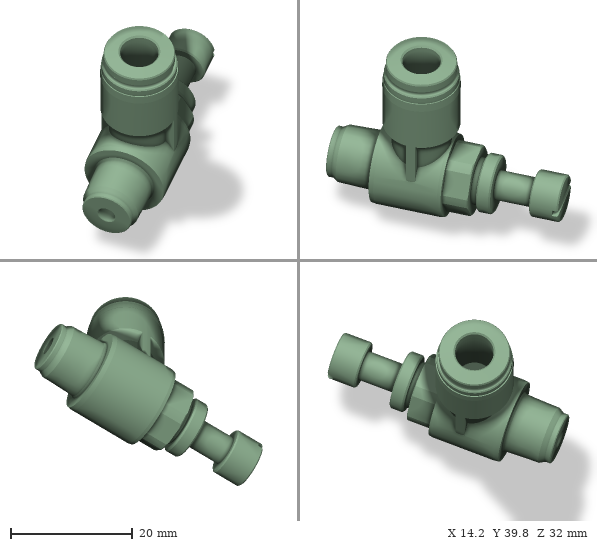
import cadquery as cq
import math


body_back = 5.35
body_front = -7.05
body_diameter = 14.2
body_end_diameter = 13.95
body_back_taper = 0.6
body_front_taper = 0.85

spigot_root_diameter = 10.6
spigot_diameter = 10.1
spigot_root_end = -7.4
spigot_tip_diameter = 9.7
spigot_tip = -13.3
nose_diameter = 8.6
nose_start = -14.25
nose_end = -15.2
nose_chamfer = 0.15

hex_across_flats = 11.2
hex_corner_diameter = 12.0
hex_back = 9.67
hex_chamfer = 0.2

neck_diameter = 8.0
neck_chamfer = 0.25
collar_diameter = 10.0
collar_front = 10.75
collar_back = 13.17
collar_chamfer = 0.28
stem_diameter = 5.0
head_diameter = 8.0
head_front = 19.62
head_back = 24.6
head_chamfer = 0.25
slot_width = 1.2
slot_depth = 1.0

port_neck_diameter = 10.0
port_diameter = 12.9
port_rim_diameter = 13.0
port_neck_top = 9.47
port_cone_top = 10.95
port_barrel_top = 19.22
port_step = 20.78
port_step_diameter = 12.8
cap_diameter = 12.5
port_top = 22.2
cap_chamfer = 0.2

button_neck_diameter = 8.35
button_flare_diameter = 8.85
button_flare_start = 22.73
button_bottom = 23.05
button_diameter = 11.8
button_edge = 24.35
button_crown_diameter = 11.45
button_crown_start = 24.65
button_top = 24.88
tube_hole_diameter = 6.35
tube_hole_chamfer = 0.28
tube_hole_bottom = 11.95

bore_diameter = 3.0
bore_chamfer = 0.1

rib_thickness = 1.6


def cylinder_y(diameter, start, end):
    """Cylinder on the Y axis between two Y positions, start below end."""
    return cq.Workplane("XZ", origin=(0, end, 0)).circle(diameter / 2).extrude(end - start)


def cone_y(start_diameter, start, end_diameter, end):
    """Cone frustum on the Y axis."""
    outline = [(0, start), (start_diameter / 2, start), (end_diameter / 2, end), (0, end)]
    return cq.Workplane("XY").polyline(outline).close().revolve(360, (0, 0), (0, 1))


def make_body():
    back_cone_start = body_back - body_back_taper
    front_cone_end = body_front + body_front_taper
    barrel = cylinder_y(body_diameter, front_cone_end, back_cone_start)
    back_cone = cone_y(body_diameter, back_cone_start, body_end_diameter, body_back)
    front_cone = cone_y(body_end_diameter, body_front, body_diameter, front_cone_end)
    return barrel.union(back_cone).union(front_cone)


def make_spigot():
    root = cone_y(spigot_diameter, spigot_root_end, spigot_root_diameter, body_front)
    thread = cone_y(spigot_tip_diameter, spigot_tip, spigot_diameter, spigot_root_end)
    lead_in = cone_y(nose_diameter, nose_start, spigot_tip_diameter, spigot_tip)
    nose = cylinder_y(nose_diameter, nose_end, nose_start).faces("<Y").chamfer(nose_chamfer)
    return root.union(thread).union(lead_in).union(nose)


def make_hexagon():
    length = hex_back - body_back
    across_corners = hex_across_flats / math.cos(math.pi / 6)
    prism = cq.Workplane("XZ", origin=(0, hex_back, 0)).polygon(6, across_corners).extrude(length)
    turned = cylinder_y(hex_corner_diameter, body_back, hex_back).faces(">Y").chamfer(hex_chamfer)
    return prism.intersect(turned)


def make_screw():
    neck = cylinder_y(neck_diameter, hex_back, collar_front).faces(">Y").chamfer(neck_chamfer)
    collar = cylinder_y(collar_diameter, collar_front, collar_back).edges().chamfer(collar_chamfer)
    stem = cylinder_y(stem_diameter, collar_back, head_front)
    head = cylinder_y(head_diameter, head_front, head_back)
    head = head.faces("<Y or >Y").edges().chamfer(head_chamfer)
    slot = cq.Workplane("XY").box(head_diameter, 2 * slot_depth, slot_width)
    head = head.cut(slot.translate((0, head_back, 0)))
    return neck.union(collar).union(stem).union(head)


def make_port():
    hole_mouth_radius = tube_hole_diameter / 2 + tube_hole_chamfer
    outline = [
        (0, 0),
        (port_neck_diameter / 2, 0),
        (port_neck_diameter / 2, port_neck_top),
        (port_diameter / 2, port_cone_top),
        (port_diameter / 2, port_barrel_top),
        (port_rim_diameter / 2, port_barrel_top),
        (port_step_diameter / 2, port_step),
        (cap_diameter / 2, port_step),
        (cap_diameter / 2, port_top - cap_chamfer),
        (cap_diameter / 2 - cap_chamfer, port_top),
        (button_neck_diameter / 2, port_top),
        (button_neck_diameter / 2, button_flare_start),
        (button_flare_diameter / 2, button_bottom),
        (button_diameter / 2, button_bottom),
        (button_diameter / 2, button_edge),
        (button_crown_diameter / 2, button_crown_start),
        (hole_mouth_radius, button_top),
        (0, button_top),
    ]
    return cq.Workplane("XZ").polyline(outline).close().revolve(360, (0, 0), (0, 1))


def make_ribs():
    """Plate across the port neck, its two edges rounded flush with the port barrel."""
    plate = cq.Workplane("XY").rect(port_rim_diameter, rib_thickness).extrude(port_cone_top)
    barrel = cq.Workplane("XY").circle(port_diameter / 2).extrude(port_cone_top)
    return plate.intersect(barrel)


def make_tube_hole():
    hole_radius = tube_hole_diameter / 2
    outline = [
        (0, tube_hole_bottom),
        (hole_radius, tube_hole_bottom),
        (hole_radius, button_top - tube_hole_chamfer),
        (hole_radius + tube_hole_chamfer, button_top),
        (0, button_top),
    ]
    return cq.Workplane("XZ").polyline(outline).close().revolve(360, (0, 0), (0, 1))


def make_flow_passage():
    spigot_bore = cylinder_y(bore_diameter, nose_end, 0)
    mouth_diameter = bore_diameter + 2 * bore_chamfer
    mouth = cone_y(mouth_diameter, nose_end, bore_diameter, nose_end + bore_chamfer)
    port_bore = cq.Workplane("XY").circle(bore_diameter / 2).extrude(tube_hole_bottom)
    elbow = cq.Workplane("XY").sphere(bore_diameter / 2)
    return spigot_bore.union(mouth).union(port_bore).union(elbow)


result = make_body()
for feature in (make_spigot(), make_hexagon(), make_screw(), make_port(), make_ribs()):
    result = result.union(feature)
result = result.cut(make_tube_hole()).cut(make_flow_passage())